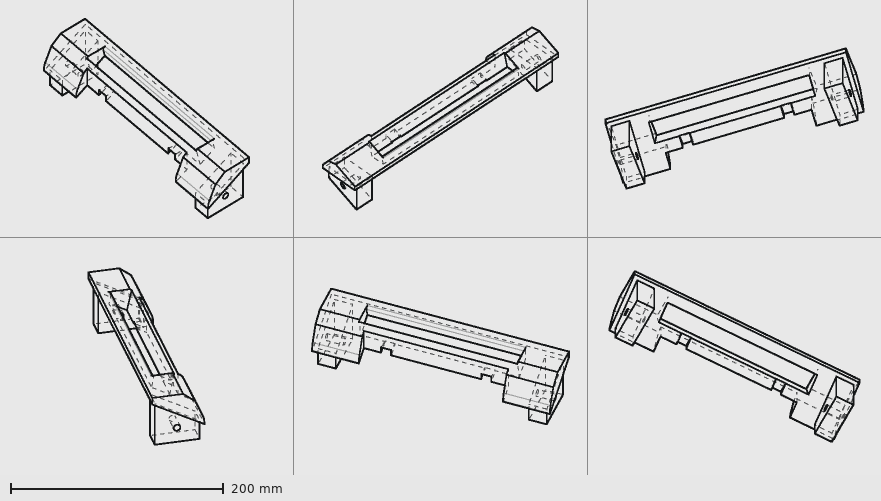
import cadquery as cq
import math

length = 239.5
depth = 50.8
height = 54.4

front_edge_bottom = 18.2
back_edge_bottom = 47.2
top_front_y = 20.8
knee_y, knee_z = 9.3, 45.0
nose_radius = 21.0
nose_angle = math.radians(24)

recess_length = 145.2
recess_depth = 13.7

window_length = 159.5
window_front_y = 19.0
window_back_y = 39.3
window_lean = 12.0
window_back_radius = 2.5

notch_width = 10.0
notch_spacing = 100.9
notch_top = 32.8

foot_width = 18.2
foot_end_inset = 4.5
foot_edge_inset = 3.5
foot_spacing = length - 2 * foot_end_inset - foot_width
pin_diameter = 6.5
pin_y, pin_z = 25.6, 15.5


def extrude_along_x(profile, width):
    """Extrude a YZ profile symmetrically about X = 0."""
    return profile.extrude(width / 2, both=True)


def slant_z(y):
    """Height of the sloping underside of the cover."""
    return front_edge_bottom + (back_edge_bottom - front_edge_bottom) * y / depth


nose_rise = nose_radius * math.sin(nose_angle)
nose_run = nose_radius * (1 - math.cos(nose_angle))
nose_top_z = knee_z - (knee_y - nose_run) / math.tan(nose_angle)
nose_bottom_z = nose_top_z - nose_rise


def make_cover():
    profile = (
        cq.Workplane("YZ")
        .moveTo(0, front_edge_bottom)
        .lineTo(0, nose_bottom_z)
        .radiusArc((nose_run, nose_top_z), nose_radius)
        .lineTo(knee_y, knee_z)
        .lineTo(top_front_y, height)
        .lineTo(depth, height)
        .lineTo(depth, back_edge_bottom)
        .close()
    )
    return extrude_along_x(profile, length)


def make_window():
    lean = math.radians(window_lean)
    shift = height * math.tan(lean)
    arc_z = height - window_back_radius
    arc_y = window_back_y + window_back_radius
    end_y = arc_y - window_back_radius * math.cos(lean)
    end_z = arc_z - window_back_radius * math.sin(lean)
    middle_angle = math.radians(45) - lean / 2
    middle = (
        arc_y - window_back_radius * math.cos(middle_angle),
        arc_z + window_back_radius * math.sin(middle_angle),
    )
    profile = (
        cq.Workplane("YZ")
        .moveTo(window_front_y, height)
        .lineTo(arc_y, height)
        .threePointArc(middle, (end_y, end_z))
        .lineTo(end_y + end_z * math.tan(lean), 0)
        .lineTo(window_front_y + shift, 0)
        .close()
    )
    return extrude_along_x(profile, window_length)


def make_foot(center_x):
    front_y = foot_edge_inset
    back_y = depth - foot_edge_inset
    profile = (
        cq.Workplane("YZ")
        .polyline([(front_y, 0), (back_y, 0), (back_y, slant_z(back_y)), (front_y, slant_z(front_y))])
        .close()
    )
    pin_hole = cq.Workplane("YZ").center(pin_y, pin_z).circle(pin_diameter / 2)
    foot = extrude_along_x(profile, foot_width).cut(extrude_along_x(pin_hole, foot_width))
    return foot.translate((center_x, 0, 0))


cover = make_cover()
cover = cover.cut(cq.Workplane("XY").box(recess_length, recess_depth, height, centered=(True, False, False)))
cover = cover.cut(make_window())

for side in (-1, 1):
    notch = cq.Workplane("XY").box(notch_width, depth, notch_top, centered=(True, False, False))
    cover = cover.cut(notch.translate((side * notch_spacing / 2, 0, 0)))

result = cover
for side in (-1, 1):
    result = result.union(make_foot(side * foot_spacing / 2))